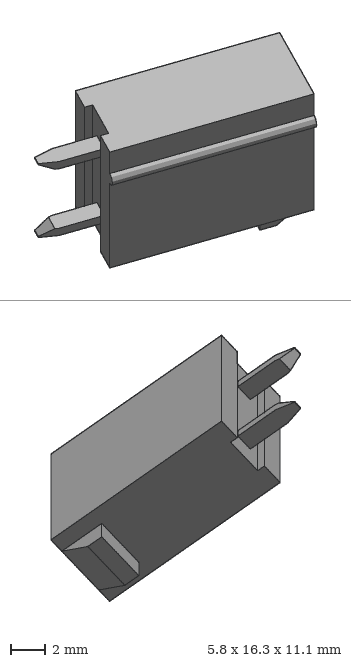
import cadquery as cq

overall_length = 16.3
body_width = 5.4
body_length = 12.8
body_height = 9.6

groove_width = 2.5
groove_depth = 0.5

rib_radius = 0.4
rib_z = body_height - 2.18

latch_width = 3.4
latch_length = 3.0
latch_drop = 1.5
latch_ramp_length = 1.95

pin_width = 1.14
pin_thickness = 0.6
pin_reach = overall_length - body_length
pin_tip_width = 0.55
pin_tip_thickness = 0.1
side_taper_length = 1.19
bevel_length = 0.95
lower_pin_z = 1.86
pin_pitch = 5.53


def make_body():
    block = cq.Workplane("XY").box(body_width, body_length, body_height, centered=(True, False, False))
    groove = cq.Workplane("XY").box(groove_width, groove_depth, body_height, centered=(True, False, False))
    return block.cut(groove)


def make_rib():
    return (
        cq.Workplane("XZ")
        .center(body_width / 2, rib_z)
        .circle(rib_radius)
        .extrude(-body_length)
    )


def make_latch():
    profile = [
        (body_length, 0),
        (body_length - latch_ramp_length, -latch_drop),
        (body_length - latch_length, -latch_drop),
        (body_length - latch_length, 0),
    ]
    return cq.Workplane("YZ").polyline(profile).close().extrude(latch_width / 2, both=True)


def make_pin(center_z, flat_side):
    """Pin with tapered sides; flat_side is +1 or -1 for the Z side that stays flat to the tip."""
    plan = [
        (-pin_width / 2, groove_depth),
        (-pin_width / 2, side_taper_length - pin_reach),
        (-pin_tip_width / 2, -pin_reach),
        (pin_tip_width / 2, -pin_reach),
        (pin_width / 2, side_taper_length - pin_reach),
        (pin_width / 2, groove_depth),
    ]
    flat_z = center_z + flat_side * pin_thickness / 2
    beveled_z = center_z - flat_side * pin_thickness / 2
    side = [
        (groove_depth, flat_z),
        (-pin_reach, flat_z),
        (-pin_reach, flat_z - flat_side * pin_tip_thickness),
        (bevel_length - pin_reach, beveled_z),
        (groove_depth, beveled_z),
    ]
    plan_prism = (
        cq.Workplane("XY")
        .workplane(offset=center_z)
        .polyline(plan)
        .close()
        .extrude(pin_thickness, both=True)
    )
    side_prism = cq.Workplane("YZ").polyline(side).close().extrude(pin_width, both=True)
    return plan_prism.intersect(side_prism)


result = make_body().union(make_rib()).union(make_latch())

result = result.union(make_pin(lower_pin_z, -1))
result = result.union(make_pin(lower_pin_z + pin_pitch, 1))